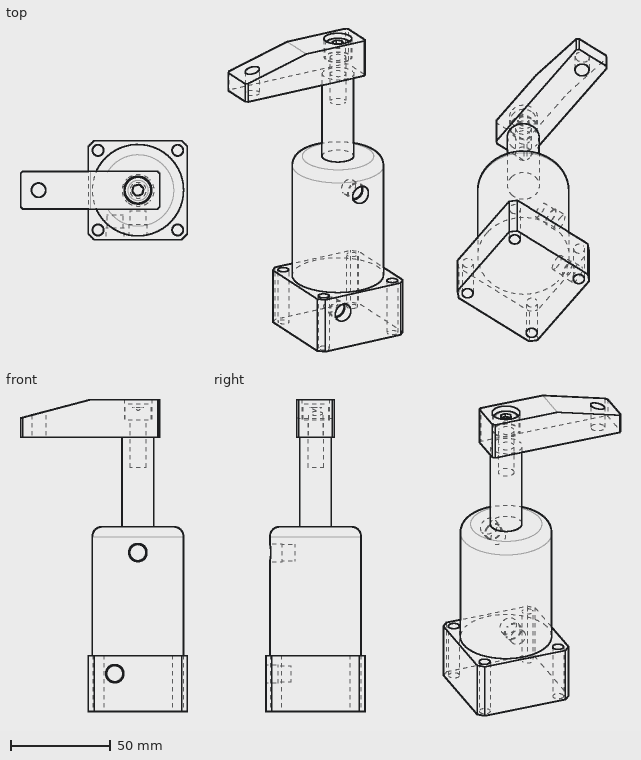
import cadquery as cq
overall_height = 157.0

base_width = 50.0
base_height = 28.3
base_corner_chamfer = 3.0
mounting_hole_diameter = 5.5
mounting_hole_spacing = 40.0
barrel_diameter = 46.0
barrel_top = 93.1
barrel_rim_radius = 5.0

port_mouth_diameter = 9.1
port_end_diameter = 8.2
upper_port_mouth_depth = 6.0
lower_port_mouth_depth = 6.0
port_depth = 12.5
upper_port_x = 0.0
upper_port_z = 80.0
lower_port_x = -11.6
lower_port_z = 19.2

arm_length = 70.0
arm_width = 19.0
arm_height = 19.0
arm_heel_reach = 11.0
arm_tip_height = 9.7
arm_slope_length = 35.0
arm_corner_chamfer = 1.1
tip_hole_diameter = 7.0
tip_hole_reach = 50.0
arm_bottom = overall_height - arm_height
arm_heel_x = arm_heel_reach
arm_tip_x = arm_heel_x - arm_length

rod_diameter = 16.0

screw_head_diameter = 13.0
screw_head_height = 8.0
screw_head_rounding = 1.4
screw_head_recess = 2.0
screw_shank_diameter = 8.0
screw_grip_in_rod = 15.0
counterbore_diameter = 14.0
hex_across_corners = 5.8
hex_turn = 15.0
hex_depth = 1.9
hex_cone_depth = 1.4
screw_head_top = overall_height - screw_head_recess
screw_seat = screw_head_top - screw_head_height
screw_end = arm_bottom - screw_grip_in_rod


def cylinder(diameter, z_bottom, z_top):
    """Upright cylinder on the Z axis."""
    return cq.Workplane("XY", origin=(0, 0, z_bottom)).circle(diameter / 2).extrude(z_top - z_bottom)


def port(x, y_mouth, z, mouth_depth):
    """Stepped round bore running toward +Y: a wide mouth and a slightly narrower blind end."""
    plane = cq.Workplane("XZ", origin=(x, y_mouth, z))
    mouth = plane.circle(port_mouth_diameter / 2).extrude(-mouth_depth)
    blind_end = plane.circle(port_end_diameter / 2).extrude(-port_depth)
    return mouth.union(blind_end)


def make_housing():
    base = (
        cq.Workplane("XY")
        .rect(base_width, base_width)
        .extrude(base_height)
        .edges("|Z")
        .chamfer(base_corner_chamfer)
    )
    base = (
        base.faces(">Z")
        .workplane()
        .rect(mounting_hole_spacing, mounting_hole_spacing, forConstruction=True)
        .vertices()
        .hole(mounting_hole_diameter)
    )
    barrel = cylinder(barrel_diameter, base_height, barrel_top).faces(">Z").edges().fillet(barrel_rim_radius)
    upper_port = port(upper_port_x, -barrel_diameter / 2, upper_port_z, upper_port_mouth_depth)
    lower_port = port(lower_port_x, -base_width / 2, lower_port_z, lower_port_mouth_depth)
    return base.union(barrel).cut(upper_port).cut(lower_port)


def make_rod():
    rod = cylinder(rod_diameter, barrel_top, arm_bottom)
    screw_hole = cylinder(screw_shank_diameter, screw_end, arm_bottom)
    return rod.cut(screw_hole)


def make_arm():
    side_outline = [
        (arm_tip_x, arm_bottom),
        (arm_heel_x, arm_bottom),
        (arm_heel_x, overall_height),
        (arm_tip_x + arm_slope_length, overall_height),
        (arm_tip_x, arm_bottom + arm_tip_height),
    ]
    arm = (
        cq.Workplane("XZ")
        .polyline(side_outline)
        .close()
        .extrude(arm_width / 2, both=True)
        .edges("|Z")
        .chamfer(arm_corner_chamfer)
    )
    tip_hole = cylinder(tip_hole_diameter, arm_bottom, overall_height).translate((-tip_hole_reach, 0, 0))
    shank_hole = cylinder(screw_shank_diameter, arm_bottom, screw_seat)
    counterbore = cylinder(counterbore_diameter, screw_seat, overall_height)
    return arm.cut(tip_hole).cut(shank_hole).cut(counterbore)


def make_screw():
    head = cylinder(screw_head_diameter, screw_seat, screw_head_top)
    head = head.faces(">Z").edges().fillet(screw_head_rounding)
    shank = cylinder(screw_shank_diameter, screw_end, screw_seat)
    socket_floor = screw_head_top - hex_depth
    socket = (
        cq.Workplane("XY", origin=(0, 0, socket_floor))
        .polygon(6, hex_across_corners)
        .extrude(hex_depth)
        .rotate((0, 0, 0), (0, 0, 1), hex_turn)
    )
    socket_point = cq.Workplane(
        cq.Solid.makeCone(hex_across_corners / 2, 0, hex_cone_depth, (0, 0, socket_floor), (0, 0, -1))
    )
    return head.union(shank).cut(socket).cut(socket_point)


housing = make_housing()
rod = make_rod()
arm = make_arm()
screw = make_screw()

result = cq.Compound.makeCompound([housing.val(), rod.val(), arm.val(), screw.val()])